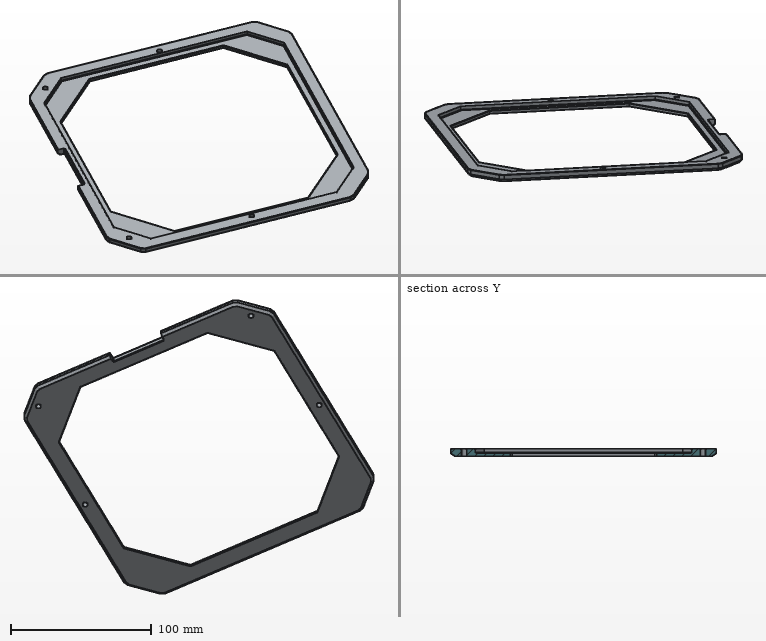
import cadquery as cq
side = 200.0
thickness = 5.5
corner_cut = 20.0
corner_bevel = 2.0
top_chamfer = 0.5
bottom_chamfer = 2.0

recess_side = 182.8
recess_corner_cut = 20.5
recess_depth = 3.0
recess_floor_z = thickness - recess_depth
recess_foot_chamfer = 0.5
window_side = 172.5
window_corner_cut = 35.5
window_rim_chamfer = 0.3

notch_width = 41.0
notch_depth = 5.0
notch_floor_y = notch_depth - side / 2
notch_corner_bevel = 0.5
notch_edge_chamfer = 0.5

hole_diameter = 3.5
side_hole_x = 93.8
side_hole_y = 5.0
corner_hole_offset = 85.2


def octagon_prism(width, cut, base_z, height):
    """Square prism centred on Z whose four upright corners are cut at 45 degrees."""
    return (
        cq.Workplane("XY", origin=(0, 0, base_z))
        .rect(width, width)
        .extrude(height)
        .edges("|Z")
        .chamfer(cut)
    )


def make_body():
    """Plate with bevelled upright edges and chamfered upper and lower outlines."""
    plate = octagon_prism(side, corner_cut, 0, thickness)
    plate = plate.edges("|Z").chamfer(corner_bevel)
    plate = plate.faces(">Z").chamfer(top_chamfer)
    return plate.faces("<Z").chamfer(bottom_chamfer)


def make_opening():
    """Recess with a sloped foot above the window, whose upper rim is chamfered."""
    recess = octagon_prism(recess_side, recess_corner_cut, recess_floor_z, recess_depth)
    recess = recess.faces("<Z").chamfer(recess_foot_chamfer)
    window = octagon_prism(window_side, window_corner_cut, 0, thickness)
    rim_side = window_side + 2 * window_rim_chamfer
    rim_base_z = recess_floor_z - window_rim_chamfer
    rim = octagon_prism(rim_side, window_corner_cut, rim_base_z, thickness - rim_base_z)
    rim = rim.faces("<Z").chamfer(window_rim_chamfer)
    return recess.union(window).union(rim)


def make_notch():
    """Through notch with bevelled inner corners and chamfered floor edges."""
    notch = (
        cq.Workplane("XY")
        .center(0, -side / 2)
        .rect(notch_width, 2 * notch_depth)
        .extrude(thickness)
        .edges("|Z and >Y")
        .chamfer(notch_corner_bevel)
    )
    floor_length = notch_width - 2 * notch_corner_bevel
    for edge_z in (0, thickness):
        bar = (
            cq.Workplane("YZ", origin=(-floor_length / 2, notch_floor_y, edge_z))
            .polyline([
                (-notch_edge_chamfer, 0),
                (0, -notch_edge_chamfer),
                (notch_edge_chamfer, 0),
                (0, notch_edge_chamfer),
            ])
            .close()
            .extrude(floor_length)
        )
        notch = notch.union(bar)
    return notch


def make_holes():
    """Four screw holes, mirrored left and right."""
    points = []
    for mirror in (-1, 1):
        points.append((mirror * side_hole_x, side_hole_y))
        points.append((mirror * corner_hole_offset, -corner_hole_offset))
    return cq.Workplane("XY").pushPoints(points).circle(hole_diameter / 2).extrude(thickness)


result = make_body().cut(make_opening()).cut(make_notch()).cut(make_holes())